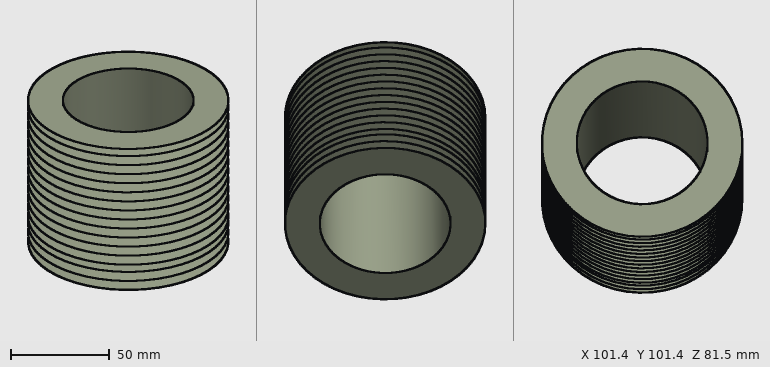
import cadquery as cq

height = 81.5
outer_radius = 50.7
bore_radius = 33.0
groove_radius = 34.3

short_flank = 1.5
full_pitches = 14
short_gaps = 2
full_flanks = 2 * full_pitches + short_gaps
full_flank = (height - short_gaps * short_flank) / full_flanks

gap_count = full_pitches + short_gaps
lower_short_gap = 2
top_gap = gap_count - 1


def groove_flanks(gap):
    """Axial rise below and above the groove bottom in one gap."""
    below = full_flank
    above = full_flank
    if gap == lower_short_gap:
        below = short_flank
    if gap == top_gap:
        above = short_flank
    return below, above


def sleeve_profile():
    """Half section in the XZ plane: straight bore and a zigzag outside."""
    z = 0.0
    points = [(bore_radius, z), (outer_radius, z)]
    for gap in range(gap_count):
        below, above = groove_flanks(gap)
        points.append((groove_radius, z + below))
        z += below + above
        points.append((outer_radius, z))
    points.append((bore_radius, height))
    return cq.Workplane("XZ").polyline(points).close()


result = sleeve_profile().revolve(360, (0, 0, 0), (0, 1, 0))